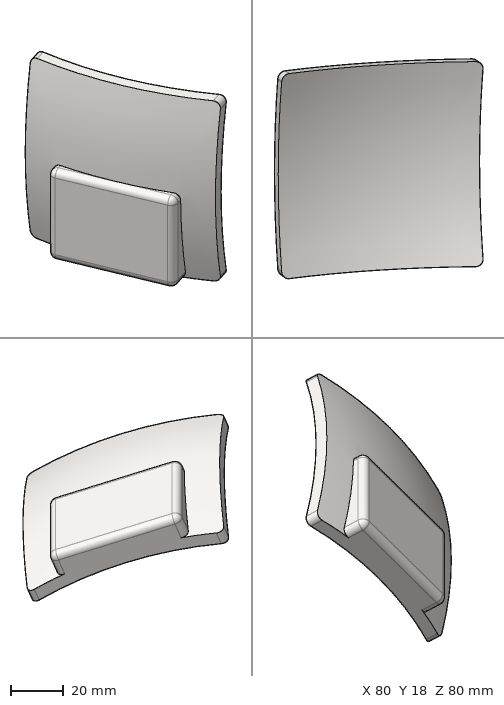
import cadquery as cq
import math

plate_side = 80.0
plate_thickness = 5.0
edge_rise = 5.0
corner_radius = 3.0
block_width = plate_side * 2 / 3
block_height = plate_side / 2
block_projection = 3.0

half_side = plate_side / 2
outer_radius = (half_side**2 + edge_rise**2) / (2 * edge_rise)
inner_radius = outer_radius - plate_thickness
block_front = -block_projection
corner_reach = math.sqrt(2) * (half_side - corner_radius) + corner_radius
plate_depth = outer_radius - math.sqrt(inner_radius**2 - corner_reach**2)


def shell_ball(radius):
    """Ball about the shell's centre."""
    return cq.Workplane("XY").sphere(radius).translate((0, outer_radius, 0))


def square_bar():
    """Square bar along Y, with rounded corners, spanning the plate's depth."""
    bar = cq.Workplane("XY").box(plate_side, plate_depth + block_projection, plate_side)
    bar = bar.edges("|Y").fillet(corner_radius)
    return bar.translate((0, (plate_depth - block_projection) / 2, 0))


def curved_plate():
    return square_bar().intersect(shell_ball(outer_radius)).cut(shell_ball(inner_radius))


def front_block():
    """Block on the lower half, rounded all round and merging into the outer face."""
    depth = plate_depth + block_projection
    block = cq.Workplane("XY").box(block_width, depth, block_height)
    block = block.edges("|Y or <Y").fillet(corner_radius)
    block = block.translate((0, block_front + depth / 2, (block_height - plate_side) / 2))
    return block.cut(shell_ball(inner_radius))


result = curved_plate().union(front_block())